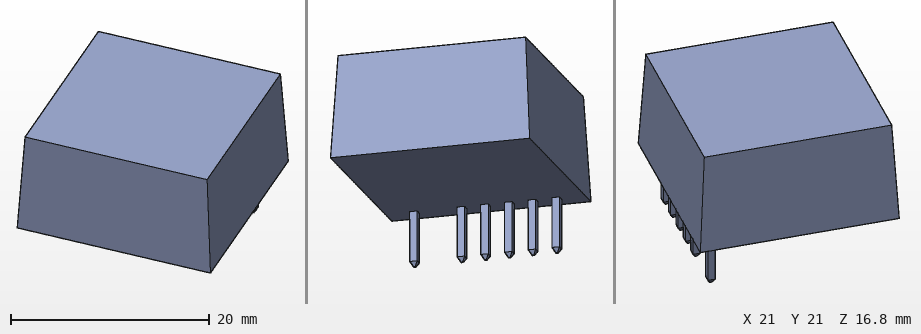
import cadquery as cq

base_side = 21.0
total_height = 16.8
body_height = 11.0
top_inset = 0.6
top_side = base_side - 2 * top_inset

pin_width = 0.8
pin_length = total_height - body_height
tip_length = 0.5
tip_width = 0.2
pin_pitch = 2.5
row_y = 8.5
pin_slots = (-3, -1, 0, 1, 2, 3)


def make_body():
    """Tapered block standing on Z = 0."""
    return (
        cq.Workplane("XY")
        .rect(base_side, base_side)
        .workplane(offset=body_height)
        .rect(top_side, top_side)
        .loft(ruled=True)
    )


def make_pin(x):
    """Square pin with a tapered tip, pointing down from Z = 0."""
    shank_length = pin_length - tip_length
    shank = (
        cq.Workplane("XY")
        .center(x, row_y)
        .rect(pin_width, pin_width)
        .extrude(-shank_length)
    )
    tip = (
        cq.Workplane("XY", origin=(x, row_y, -shank_length))
        .rect(pin_width, pin_width)
        .workplane(offset=-tip_length)
        .rect(tip_width, tip_width)
        .loft(ruled=True)
    )
    return shank.union(tip)


result = make_body()
for slot in pin_slots:
    result = result.union(make_pin(slot * pin_pitch))